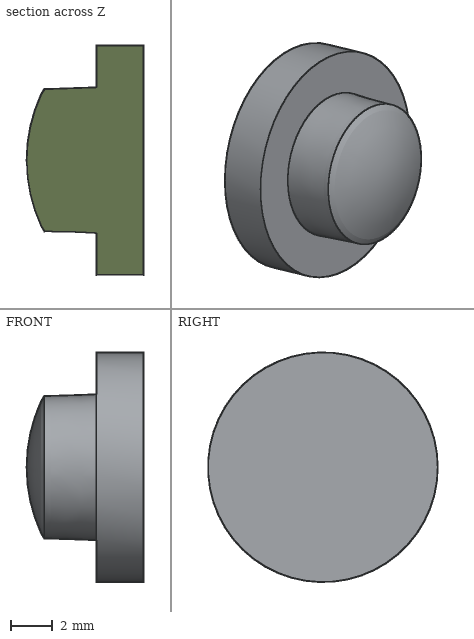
import cadquery as cq

flange_radius = 5.5
flange_thickness = 2.25

boss_base_radius = 3.5
boss_end_radius = 3.42
boss_length = 2.49
land_length = 0.29

bevel_length = 0.16
dome_edge_radius = 3.15
dome_height = 0.69

dome_edge_x = dome_height
boss_end_x = dome_edge_x + bevel_length
taper_start_x = boss_end_x + land_length
flange_front_x = boss_end_x + boss_length
flange_back_x = flange_front_x + flange_thickness

sphere_radius = (dome_edge_radius**2 + dome_height**2) / (2 * dome_height)
dome_mid_radius = dome_edge_radius / 2
dome_mid_x = sphere_radius - (sphere_radius**2 - dome_mid_radius**2) ** 0.5

half_profile = (
    cq.Workplane("XY")
    .moveTo(0, 0)
    .threePointArc((dome_mid_x, dome_mid_radius), (dome_edge_x, dome_edge_radius))
    .lineTo(boss_end_x, boss_end_radius)
    .lineTo(taper_start_x, boss_end_radius)
    .lineTo(flange_front_x, boss_base_radius)
    .lineTo(flange_front_x, flange_radius)
    .lineTo(flange_back_x, flange_radius)
    .lineTo(flange_back_x, 0)
    .close()
)

result = half_profile.revolve(360, (0, 0, 0), (1, 0, 0))